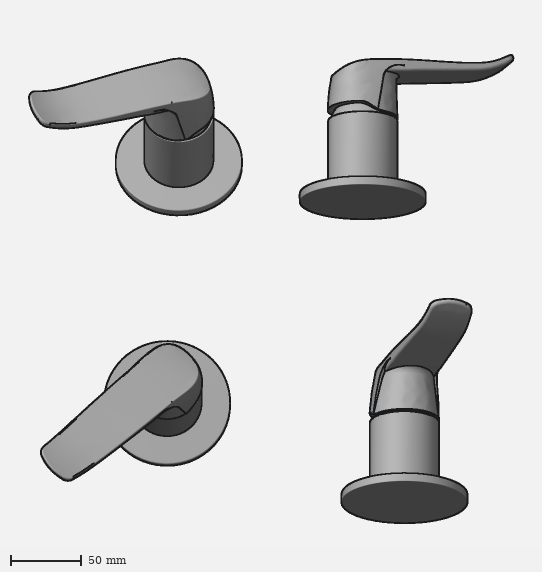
import cadquery as cq
import math

PLATE_RADIUS = 44.92
PLATE_RIM_HEIGHT = 6.3
PLATE_CROWN_HEIGHT = 6.65
PLATE_TOP_ROUND = 0.9
PLATE_BOTTOM_ROUND = 0.4

BODY_RADIUS = 24.72
BODY_TOP = 60.1
BODY_TOP_ROUND = 0.5
BALL_RADIUS = 23.9
BALL_CENTER_Z = 54.2

HEAD_RADIUS = 24.95
HEAD_BOTTOM = 61.7
HEAD_REAR_BOTTOM = 67.7
HEAD_TOP = 107.0
HEAD_REF_HEIGHT = 41.0
HEAD_SIDE_TAPER = 6.1
HEAD_REAR_TAPER = 5.6
HEAD_SQUARENESS = 0.6
HEAD_FORWARD_REACH = 38.0
HEAD_LEVELS = 5

LOBE_RADIUS = 24.8
LOBE_SIDE_TAPER = 4.0
LOBE_FRONT_LEAN = 0.6
LOBE_FLARE_START = 89.5
LOBE_FLARE_RADIUS = 5.5
LOBE_FLARE_ANGLE = math.radians(75)
LOBE_FLARE_LEVELS = 3

BLADE_ROOT_Y = 5.0
BLADE_ROOT_HALF_WIDTH = 19.1
BLADE_MID_Y = -45.0
BLADE_MID_HALF_WIDTH = 18.3
BLADE_END_Y = -99.5
BLADE_END_HALF_WIDTH = 15.7
CORNER_Y = -104.4
CORNER_HALF_WIDTH = 14.2
TIP_SIDE_Y = -107.3
TIP_HALF_WIDTH = 10.0
BLADE_FLOOR = 90.0
TIP_TOP = (-109.47, 116.75)
TIP_BOTTOM = (-111.1, 113.4)
BLADE_TOP_ROUND = 0.9
BLADE_BOTTOM_ROUND = 2.0

TOP_LINE = [
    (22.0, 92.2), (14.2, 96.8), (3.0, 99.9), (-12.0, 101.8), (-42.0, 103.4),
    (-79.0, 105.2), (-90.8, 107.4), (-102.0, 112.2), TIP_TOP,
]
UNDERSIDE_LINE = [
    TIP_BOTTOM, (-98.0, 104.6), (-87.0, 100.7), (-76.0, 99.0), (-52.0, 96.6), (-28.0, 94.1),
]
UNDERSIDE_MIDDLE = (0, *UNDERSIDE_LINE[2])
UNDERSIDE_ROOT = (-4.0, 92.0)
SEAM_BOTTOM = (-3.5, HEAD_BOTTOM)
SEAM_TOP = (-8.7, 88.0)
ARCH_MIDDLE = (-13.0, 94.6)
ARCH_END = (-25.0, 97.6)
LIFT_REAR = (9.5, HEAD_REAR_BOTTOM)
LIFT_FRONT = (-7.0, HEAD_BOTTOM + 0.2)

SIDE_REACH = 40.0
SECTION_POINTS = 24


def side_plane():
    """YZ plane at the -X end of the cutting prisms."""
    return cq.Workplane("YZ", origin=(-SIDE_REACH, 0, 0))


def side_prism(outline):
    """Close a (y, z) outline and extrude it across the whole handle."""
    return outline.close().extrude(2 * SIDE_REACH)


def egg_section(z, half_width, rear, front, exponent):
    """Closed superellipse whose rear and front halves have different lengths."""
    points = []
    for i in range(SECTION_POINTS):
        angle = 2 * math.pi * i / SECTION_POINTS
        c, s = math.cos(angle), math.sin(angle)
        x = half_width * math.copysign(abs(c) ** (2 / exponent), c)
        length = rear if s > 0 else front
        y = length * math.copysign(abs(s) ** (2 / exponent), s)
        points.append(cq.Vector(x, y, z))
    return cq.Wire.assembleEdges([cq.Edge.makeSpline(points, periodic=True)])


def loft(sections):
    return cq.Workplane(cq.Solid.makeLoft(sections))


def make_plate():
    plate = (
        cq.Workplane("XZ")
        .lineTo(PLATE_RADIUS, 0)
        .lineTo(PLATE_RADIUS, PLATE_RIM_HEIGHT)
        .lineTo(BODY_RADIUS, PLATE_CROWN_HEIGHT)
        .lineTo(0, PLATE_CROWN_HEIGHT)
        .close()
        .revolve(360, (0, 0, 0), (0, 1, 0))
    )
    plate = plate.faces("<Z").edges().fillet(PLATE_BOTTOM_ROUND)
    rim = cq.selectors.BoxSelector(
        (-2 * PLATE_RADIUS, -2 * PLATE_RADIUS, PLATE_RIM_HEIGHT - 0.1),
        (2 * PLATE_RADIUS, 2 * PLATE_RADIUS, PLATE_RIM_HEIGHT + 0.1),
        boundingbox=True,
    )
    return plate.edges(rim).fillet(PLATE_TOP_ROUND)


def make_body():
    tube = cq.Workplane("XY").circle(BODY_RADIUS).extrude(BODY_TOP).faces(">Z").edges().fillet(BODY_TOP_ROUND)
    ball = cq.Workplane("XY").sphere(BALL_RADIUS).translate((0, 0, BALL_CENTER_Z))
    return tube.union(ball)


def make_head():
    sections = []
    for i in range(HEAD_LEVELS):
        z = HEAD_BOTTOM + (HEAD_TOP - HEAD_BOTTOM) * i / (HEAD_LEVELS - 1)
        t = (z - HEAD_BOTTOM) / HEAD_REF_HEIGHT
        half_width = HEAD_RADIUS - HEAD_SIDE_TAPER * (0.4 * t + 0.6 * t * t)
        rear = HEAD_RADIUS - HEAD_REAR_TAPER * t * t
        front = HEAD_RADIUS + HEAD_FORWARD_REACH * t
        sections.append(egg_section(z, half_width, rear, front, 2 + HEAD_SQUARENESS * t))
    head = loft(sections)
    ahead_of_seam = side_prism(
        side_plane()
        .moveTo(*SEAM_BOTTOM)
        .lineTo(*SEAM_TOP)
        .threePointArc(ARCH_MIDDLE, ARCH_END)
        .lineTo(ARCH_END[0], HEAD_TOP + 1)
        .lineTo(-2 * HEAD_FORWARD_REACH, HEAD_TOP + 1)
        .lineTo(-2 * HEAD_FORWARD_REACH, HEAD_BOTTOM - 1)
        .lineTo(SEAM_BOTTOM[0], HEAD_BOTTOM - 1)
    )
    return head.cut(ahead_of_seam)


def lobe_section(z, flare):
    """Ellipse of the lobe at height z, lengthened along Y by the flare."""
    t = (z - HEAD_BOTTOM) / (LOBE_FLARE_START - HEAD_BOTTOM)
    half_width = LOBE_RADIUS - LOBE_SIDE_TAPER * t
    half_length = LOBE_RADIUS - LOBE_FRONT_LEAN * t + flare
    up = cq.Vector(0, 0, 1)
    along_y = cq.Vector(0, 1, 0)
    return cq.Wire.makeEllipse(half_length, half_width, cq.Vector(0, 0, z), up, along_y)


def make_lobe():
    """Front half of an elliptic cone that flares out to meet the blade."""
    flared_sections = []
    for i in range(LOBE_FLARE_LEVELS + 1):
        angle = LOBE_FLARE_ANGLE * i / LOBE_FLARE_LEVELS
        z = LOBE_FLARE_START + LOBE_FLARE_RADIUS * math.sin(angle)
        flared_sections.append(lobe_section(z, LOBE_FLARE_RADIUS * (1 - math.cos(angle))))
    straight = loft([lobe_section(HEAD_BOTTOM, 0), lobe_section(LOBE_FLARE_START, 0)])
    behind_seam = (
        cq.Workplane("XY", origin=(0, SEAM_BOTTOM[0] + SIDE_REACH, HEAD_BOTTOM))
        .rect(2 * SIDE_REACH, 2 * SIDE_REACH)
        .extrude(HEAD_TOP - HEAD_BOTTOM)
    )
    return straight.union(loft(flared_sections)).cut(behind_seam)


def make_blade():
    """Bar with the blade's plan outline, swept square to the tip and trimmed below."""
    outline = (
        cq.Workplane("XY", origin=(0, 0, TIP_TOP[1]))
        .moveTo(BLADE_ROOT_HALF_WIDTH, BLADE_ROOT_Y)
        .threePointArc((BLADE_MID_HALF_WIDTH, BLADE_MID_Y), (BLADE_END_HALF_WIDTH, BLADE_END_Y))
        .threePointArc((CORNER_HALF_WIDTH, CORNER_Y), (TIP_HALF_WIDTH, TIP_SIDE_Y))
        .threePointArc((0, TIP_TOP[0]), (-TIP_HALF_WIDTH, TIP_SIDE_Y))
        .threePointArc((-CORNER_HALF_WIDTH, CORNER_Y), (-BLADE_END_HALF_WIDTH, BLADE_END_Y))
        .threePointArc((-BLADE_MID_HALF_WIDTH, BLADE_MID_Y), (-BLADE_ROOT_HALF_WIDTH, BLADE_ROOT_Y))
        .close()
    )
    drop = TIP_TOP[1] - BLADE_FLOOR
    tip_slope = (TIP_BOTTOM[0] - TIP_TOP[0]) / (TIP_TOP[1] - TIP_BOTTOM[1])
    bar = cq.Workplane(cq.Solid.extrudeLinear(outline.val(), [], cq.Vector(0, tip_slope * drop, -drop)))
    tip_extension = (TIP_BOTTOM[0] - SIDE_REACH, TIP_BOTTOM[1] + SIDE_REACH)
    below_blade = side_prism(
        side_plane()
        .moveTo(*tip_extension)
        .lineTo(*TIP_BOTTOM)
        .spline(UNDERSIDE_LINE[1:], includeCurrent=True)
        .lineTo(*UNDERSIDE_ROOT)
        .lineTo(SIDE_REACH, UNDERSIDE_ROOT[1])
        .lineTo(SIDE_REACH, HEAD_BOTTOM)
        .lineTo(tip_extension[0], HEAD_BOTTOM)
    )
    blade = bar.cut(below_blade)
    underside = blade.faces(cq.selectors.NearestToPointSelector(UNDERSIDE_MIDDLE)).val()
    edges = [edge for edge in underside.Edges() if edge.Center().y < UNDERSIDE_LINE[-1][0]]
    return blade.newObject(edges).fillet(BLADE_BOTTOM_ROUND)


def above_top_line():
    return side_prism(
        side_plane()
        .moveTo(*TOP_LINE[0])
        .spline(TOP_LINE[1:], includeCurrent=True)
        .lineTo(TIP_TOP[0], 2 * HEAD_TOP)
        .lineTo(SIDE_REACH, 2 * HEAD_TOP)
        .lineTo(SIDE_REACH, TOP_LINE[0][1] - 15)
    )


def below_rear_edge():
    (y0, z0), (y1, z1) = LIFT_REAR, LIFT_FRONT
    return side_prism(
        side_plane()
        .moveTo(SIDE_REACH, z0)
        .lineTo(y0, z0)
        .spline([(y1, z1)], tangents=[(-1, 0), (-1, 0)], includeCurrent=True)
        .lineTo(y1, HEAD_BOTTOM - 2)
        .lineTo(SIDE_REACH, HEAD_BOTTOM - 2)
    )


def make_handle():
    handle = make_head().union(make_blade())
    handle = handle.cut(above_top_line()).cut(below_rear_edge())
    top_face = handle.faces(cq.selectors.NearestToPointSelector((0, *TOP_LINE[4])))
    handle = top_face.edges().fillet(BLADE_TOP_ROUND)
    return handle.union(make_lobe().cut(below_rear_edge()))


result = make_plate().union(make_body()).union(make_handle())